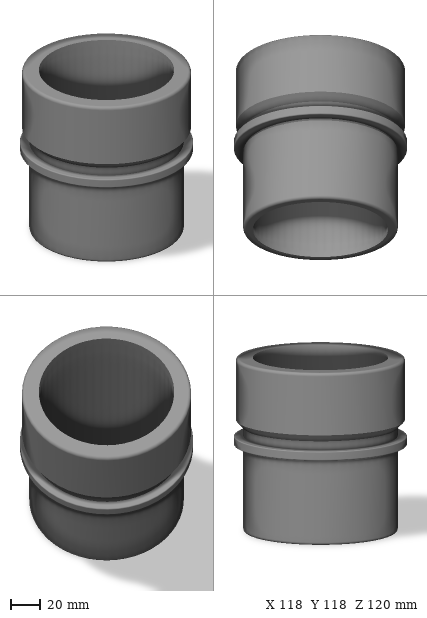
import cadquery as cq

total_height = 120.0
spigot_top = 57.8
flange_bottom = 59.8
flange_top = 66.0
cone_bottom = 72.0
cone_top = 77.0

undercut_depth = 1.0

bore_diameter = 92.0
spigot_diameter = 105.2
undercut_diameter = spigot_diameter - 2 * undercut_depth
flange_diameter = 118.0
head_diameter = 115.1

head_round = 2.2
spigot_round = 1.9
flange_round = 0.7


def disc(diameter, bottom, top):
    """Cylinder on the Z axis between two heights."""
    return cq.Workplane("XY").workplane(offset=bottom).circle(diameter / 2).extrude(top - bottom)


spigot = disc(spigot_diameter, 0, spigot_top).faces("<Z").edges().fillet(spigot_round)

undercut = (
    cq.Workplane("XZ")
    .moveTo(0, spigot_top)
    .lineTo(spigot_diameter / 2, spigot_top)
    .radiusArc((undercut_diameter / 2, spigot_top + undercut_depth), undercut_depth)
    .lineTo(undercut_diameter / 2, flange_bottom)
    .lineTo(0, flange_bottom)
    .close()
    .revolve(360, (0, 0, 0), (0, 1, 0))
)

flange = disc(flange_diameter, flange_bottom, flange_top).edges().fillet(flange_round)

neck = disc(spigot_diameter, flange_top, cone_bottom)

transition = (
    cq.Workplane("XY")
    .workplane(offset=cone_bottom)
    .circle(spigot_diameter / 2)
    .workplane(offset=cone_top - cone_bottom)
    .circle(head_diameter / 2)
    .loft(ruled=True)
)

head = disc(head_diameter, cone_top, total_height).faces(">Z").edges().fillet(head_round)

bore = disc(bore_diameter, 0, total_height)

body = spigot.union(undercut).union(flange).union(neck).union(transition).union(head)
result = body.cut(bore)